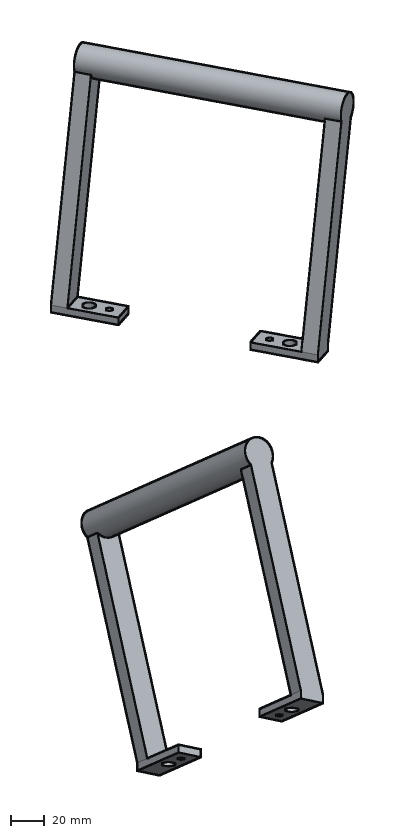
import cadquery as cq
import math

width = 170.0
depth = 56.0
height = 156.2

bar_diameter = 20.0
bar_y = depth - bar_diameter / 2
bar_z = height - bar_diameter / 2

foot_length = 43.0
foot_depth = 16.0
foot_thickness = 5.0
large_hole_diameter = 8.0
large_hole_x = 21.0
small_hole_diameter = 4.0
small_hole_x = 34.0
hole_y = foot_depth / 2

arm_thickness = 10.5
arm_lean = math.atan2(bar_y - foot_depth / 2, bar_z - foot_thickness)
arm_half_width = foot_depth * math.cos(arm_lean) / 2
arm_end_dy = arm_half_width * math.cos(arm_lean)
arm_end_dz = arm_half_width * math.sin(arm_lean)


def make_foot():
    foot = cq.Workplane("XY").box(foot_length, foot_depth, foot_thickness, centered=False)
    for x, diameter in (
        (large_hole_x, large_hole_diameter),
        (small_hole_x, small_hole_diameter),
    ):
        hole = cq.Workplane("XY").center(x, hole_y).circle(diameter / 2).extrude(foot_thickness)
        foot = foot.cut(hole)
    return foot


def make_arm():
    return (
        cq.Workplane("YZ")
        .moveTo(0, foot_thickness)
        .lineTo(foot_depth, foot_thickness)
        .lineTo(bar_y + arm_end_dy, bar_z - arm_end_dz)
        .lineTo(bar_y - arm_end_dy, bar_z + arm_end_dz)
        .close()
        .extrude(arm_thickness)
    )


left_support = make_foot().union(make_arm()).translate((-width / 2, 0, 0))
right_support = left_support.mirror("YZ")

bar = (
    cq.Workplane("YZ", origin=(-width / 2, 0, 0))
    .center(bar_y, bar_z)
    .circle(bar_diameter / 2)
    .extrude(width)
)

result = bar.union(left_support).union(right_support)